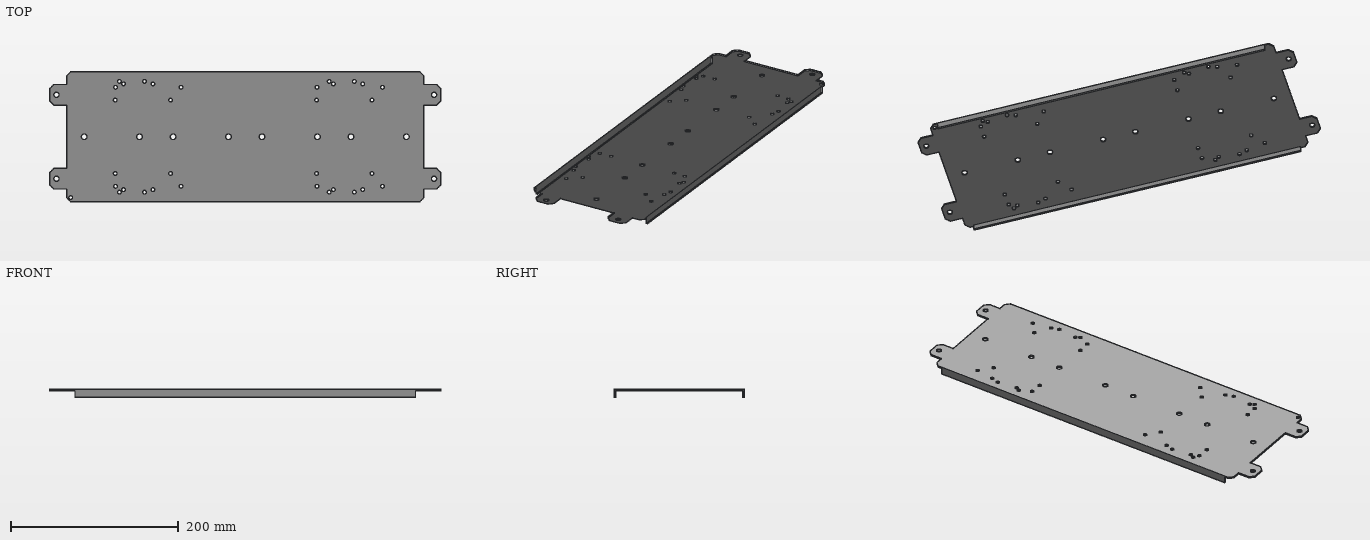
import cadquery as cq

overall_length = 466.0
overall_width = 155.0
overall_height = 10.0
sheet_thickness = 2.0

tab_reach = 20.0
plate_length = overall_length - 2 * tab_reach
plate_corner = 5.0
tab_width = 25.0
tab_spacing = 100.0
tab_corner = 5.0
tab_hole_diameter = 6.0
tab_hole_inset = 8.0

flange_end_gap = 10.0
flange_length = plate_length - 2 * flange_end_gap

center_hole_diameter = 6.5
center_pair_spacing = 66.0
center_pair_gap = 40.0
center_pair_count = 4

small_hole_diameter = 4.2
wide_group = [(-154.5, 59.0), (-155.0, 43.75), (-89.0, 43.75), (-76.5, 59.0)]
wide_group_pitch = 240.0
edge_group = [(-150.0, 66.0), (-145.0, 63.0), (-120.0, 66.0), (-110.0, 63.0)]
edge_group_pitch = 250.0

corner_hole_diameter = small_hole_diameter
corner_hole_inset = 5.0


def make_plate():
    plate = cq.Workplane("XY").rect(plate_length, overall_width).extrude(-sheet_thickness)
    plate = plate.edges("|Z").chamfer(plate_corner)
    for y in (-tab_spacing / 2, tab_spacing / 2):
        strip = cq.Workplane("XY").center(0, y).rect(overall_length, tab_width).extrude(-sheet_thickness)
        plate = plate.union(strip.edges("|Z").chamfer(tab_corner))
    return plate


def make_flange(side):
    y = side * (overall_width - sheet_thickness) / 2
    return cq.Workplane("XY").center(0, y).rect(flange_length, sheet_thickness).extrude(-overall_height)


def drill(body, points, diameter):
    holes = cq.Workplane("XY").pushPoints(points).circle(diameter / 2).extrude(-sheet_thickness)
    return body.cut(holes)


def repeated_and_mirrored(points, pitch):
    return [(x + shift, side * y) for x, y in points for shift in (0, pitch) for side in (-1, 1)]


def center_points():
    pitch = center_pair_spacing + center_pair_gap
    points = []
    for index in range(center_pair_count):
        middle = (index - (center_pair_count - 1) / 2) * pitch
        points.append((middle - center_pair_spacing / 2, 0))
        points.append((middle + center_pair_spacing / 2, 0))
    return points


tab_hole_x = overall_length / 2 - tab_hole_inset
tab_hole_points = [(sx * tab_hole_x, sy * tab_spacing / 2) for sx in (-1, 1) for sy in (-1, 1)]
corner_hole = (corner_hole_inset - plate_length / 2, corner_hole_inset - overall_width / 2)

result = make_plate().union(make_flange(-1)).union(make_flange(1))
result = drill(result, tab_hole_points, tab_hole_diameter)
result = drill(result, center_points(), center_hole_diameter)
result = drill(result, repeated_and_mirrored(wide_group, wide_group_pitch), small_hole_diameter)
result = drill(result, repeated_and_mirrored(edge_group, edge_group_pitch), small_hole_diameter)
result = drill(result, [corner_hole], corner_hole_diameter)